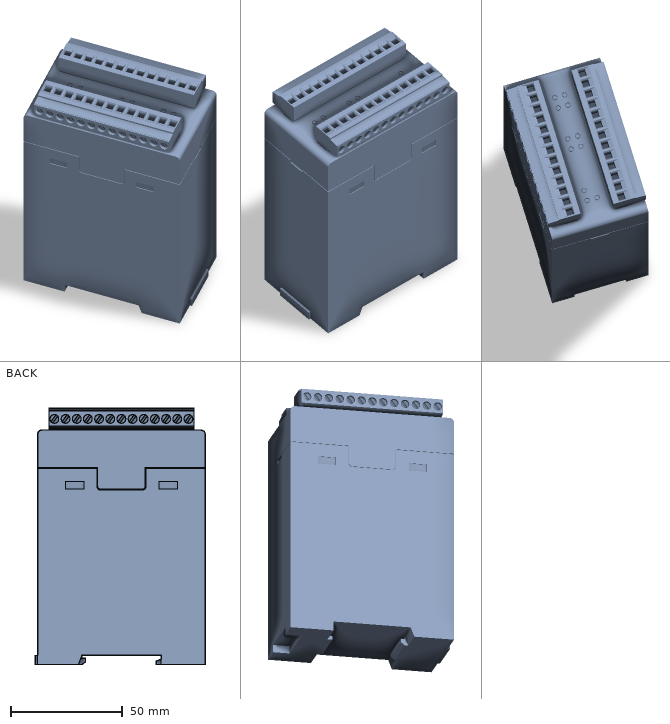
import cadquery as cq

body_length = 75.0
body_depth = 45.0
body_height = 105.0
top_edge_radius = 2.1

seam_top = 88.1
seam_width = 0.3
seam_depth = 0.3
tab_width = 21.2
tab_bottom = 78.5
tab_corner_radius = 1.3

latch_slot_length = 8.3
latch_slot_height = 3.4
latch_slot_depth = 0.3
latch_slot_x = 20.9
latch_slot_z = 80.3
pry_notch_width = 8.3
pry_notch_bottom = 86.5
pry_notch_depth = 1.7

channel_left = -17.8
channel_right_top = 17.7
channel_right_bottom = 19.3
channel_height = 4.2
fixed_hook_reach = 2.3
fixed_hook_height = 2.5
fixed_hook_tip_height = 1.6
sliding_hook_tip = 16.0
sliding_hook_tip_height = 1.4
sliding_hook_height = 3.0
sliding_hook_base = 17.7
slider_width = 20.4
slider_end_reach = 1.0
slider_pocket_width = 24.1
slider_pocket_height = 3.4
slider_pocket_depth = 7.5

total_height = 114.7
total_depth = 45.5
terminal_count = 13
block_length = 64.9
pitch = block_length / terminal_count
block_inner_y = 7.7
block_outer_y = total_depth / 2
block_foot_inner_y = 8.6
block_foot_outer_y = 14.9
block_foot_shoulder_z = 106.4
block_underside_inner_z = 105.3
block_underside_outer_z = 106.8
block_crown_y = 17.9
block_slope_inner_z = 113.9
block_slope_outer_z = 113.4
block_rim_y = 22.3
block_rim_step = 0.1
block_keel_y = 17.2
block_keel_outer_z = 105.9
block_keel_inner_z = 105.5

funnel_width = 4.1
funnel_inner_y = 10.2
funnel_outer_y = 15.7
funnel_depth = 0.7
well_size = 3.1
well_inner_y = 10.5
well_depth = 4.6

screw_z = 109.9
screw_radius = 2.0
screw_recess = 1.4
screw_slot_width = 1.0
screw_slot_depth = 0.6
screw_slot_angle = 55

lamp_columns_front = [1, 6, 7, 10, 11]
lamp_columns_back = [1, 2, 6, 7, 10, 11]
lamp_row_y = 2.3
lamp_hole_radius = 1.3
lamp_radius = 0.86
lamp_hole_depth = 0.6


def block(x_range, y_range, z_range):
    """Box given by its lower and upper limits along each axis."""
    sizes = [high - low for low, high in (x_range, y_range, z_range)]
    lows = (x_range[0], y_range[0], z_range[0])
    return cq.Workplane("XY").box(*sizes, centered=False).translate(lows)


def prism_along_y(points, width):
    """Outline in X and Z, extruded to a given width centred on Y = 0."""
    return cq.Workplane("XZ").polyline(points).close().extrude(width / 2, both=True)


def terminal_x(index):
    """Centre of a terminal, counted from the left end of its block."""
    return (index - (terminal_count - 1) / 2) * pitch


def make_housing():
    housing = block(
        (-body_length / 2, body_length / 2),
        (-body_depth / 2, body_depth / 2),
        (0, body_height),
    )
    return housing.faces(">Z").edges("|Y").fillet(top_edge_radius)


def lid_envelope(clearance):
    """Everything above the lid edge plus the rounded tab, grown by a clearance."""
    half_tab = tab_width / 2 + clearance
    tab = block(
        (-half_tab, half_tab),
        (-body_depth, body_depth),
        (tab_bottom - clearance, body_height),
    )
    tab = tab.faces("<Z").edges("|Y").fillet(tab_corner_radius + clearance)
    upper = block(
        (-body_length, body_length),
        (-body_depth, body_depth),
        (seam_top - clearance, body_height),
    )
    return upper.union(tab)


def make_seam():
    core = block(
        (seam_depth - body_length / 2, body_length / 2 - seam_depth),
        (seam_depth - body_depth / 2, body_depth / 2 - seam_depth),
        (0, body_height),
    )
    return lid_envelope(seam_width).cut(lid_envelope(0)).cut(core)


def make_latch_slots():
    slots = cq.Workplane("XY")
    for x in (-latch_slot_x, latch_slot_x):
        for y in (-body_depth / 2, body_depth / 2):
            slot = cq.Workplane("XY").box(latch_slot_length, 2 * latch_slot_depth, latch_slot_height)
            slots = slots.add(slot.translate((x, y, latch_slot_z)))
    return slots.combine()


def make_pry_notches():
    notch = block(
        (-body_length / 2, pry_notch_depth - body_length / 2),
        (-pry_notch_width / 2, pry_notch_width / 2),
        (pry_notch_bottom, seam_top),
    )
    return notch.union(notch.mirror("YZ"))


def make_rail_channel():
    outline = [
        (channel_left, 0),
        (channel_left, channel_height),
        (channel_right_top, channel_height),
        (channel_right_bottom, 0),
    ]
    return prism_along_y(outline, body_depth)


def make_slider_pocket():
    """Pocket under the left wall that gives access to the rail slider."""
    return block(
        (-body_length / 2, slider_pocket_depth - body_length / 2),
        (-slider_pocket_width / 2, slider_pocket_width / 2),
        (0, slider_pocket_height),
    )


def make_rail_hooks():
    fixed_tip = channel_left + fixed_hook_reach
    fixed_hook = prism_along_y(
        [
            (channel_left, 0),
            (channel_left, fixed_hook_height),
            (fixed_tip, fixed_hook_tip_height),
            (fixed_tip, 0),
        ],
        slider_width,
    )
    sliding_hook = prism_along_y(
        [
            (sliding_hook_base, 0),
            (sliding_hook_tip, sliding_hook_tip_height),
            (sliding_hook_tip, sliding_hook_height),
            (channel_right_top, sliding_hook_height),
            (channel_right_top, channel_height),
            (channel_right_bottom, channel_height),
            (channel_right_bottom, 0),
        ],
        slider_width,
    )
    return fixed_hook.union(sliding_hook)


def make_slider_end():
    return block(
        (body_length / 2, body_length / 2 + slider_end_reach),
        (-slider_width / 2, slider_width / 2),
        (0, channel_height),
    )


def make_lamp_rings():
    """Ring-shaped gaps that surround lamps flush with the top face."""
    front = [(terminal_x(i), -lamp_row_y) for i in lamp_columns_front]
    back = [(terminal_x(i), lamp_row_y) for i in lamp_columns_back]
    top_plane = cq.Workplane("XY").workplane(offset=body_height).pushPoints(front + back)
    return top_plane.circle(lamp_hole_radius).circle(lamp_radius).extrude(-lamp_hole_depth)


def make_wire_entry(x):
    """Funnel and well opening upwards in the back terminal block."""
    well_y = well_inner_y + well_size / 2
    funnel_y = (funnel_inner_y + funnel_outer_y) / 2
    funnel = (
        cq.Workplane("XY", origin=(x, funnel_y, total_height))
        .rect(funnel_width, funnel_outer_y - funnel_inner_y)
        .workplane(offset=-funnel_depth)
        .center(0, well_y - funnel_y)
        .rect(well_size, well_size)
        .loft(ruled=True)
    )
    well = block(
        (x - well_size / 2, x + well_size / 2),
        (well_inner_y, well_inner_y + well_size),
        (total_height - well_depth, total_height - funnel_depth),
    )
    return funnel.union(well)


def make_screw_recess(x):
    """Round recess and driver slot opening outwards in the back terminal block."""
    recess = cq.Workplane("XZ", origin=(x, block_outer_y, screw_z)).circle(screw_radius).extrude(screw_recess)
    slot = cq.Workplane("XY").box(2 * screw_radius, screw_slot_depth, screw_slot_width)
    slot = slot.rotate((0, 0, 0), (0, 1, 0), screw_slot_angle)
    slot_y = block_outer_y - screw_recess - screw_slot_depth / 2
    slot = slot.translate((x, slot_y, screw_z))
    return recess.union(slot)


def make_terminal_block():
    """Terminal block on the back (+Y) side, with one entry and one screw per terminal."""
    profile = [
        (block_foot_inner_y, body_height),
        (block_foot_inner_y, block_foot_shoulder_z),
        (block_inner_y, block_foot_shoulder_z),
        (block_inner_y, total_height),
        (block_crown_y, total_height),
        (block_crown_y, block_slope_inner_z),
        (block_rim_y, block_slope_outer_z),
        (block_rim_y, block_slope_outer_z - block_rim_step),
        (block_outer_y, block_slope_outer_z - block_rim_step),
        (block_outer_y, block_underside_outer_z),
        (block_keel_y, block_keel_outer_z),
        (block_keel_y, block_keel_inner_z),
        (block_foot_outer_y, block_underside_inner_z),
        (block_foot_outer_y, body_height),
    ]
    terminal_block = cq.Workplane("YZ").polyline(profile).close().extrude(block_length / 2, both=True)
    for index in range(terminal_count):
        x = terminal_x(index)
        terminal_block = terminal_block.cut(make_wire_entry(x))
        terminal_block = terminal_block.cut(make_screw_recess(x))
    return terminal_block


housing = make_housing()
for opening in (
    make_seam(),
    make_latch_slots(),
    make_pry_notches(),
    make_rail_channel(),
    make_slider_pocket(),
    make_lamp_rings(),
):
    housing = housing.cut(opening)
housing = housing.union(make_rail_hooks()).union(make_slider_end())

back_block = make_terminal_block()
front_block = back_block.mirror("XZ")
result = housing.union(back_block).union(front_block)